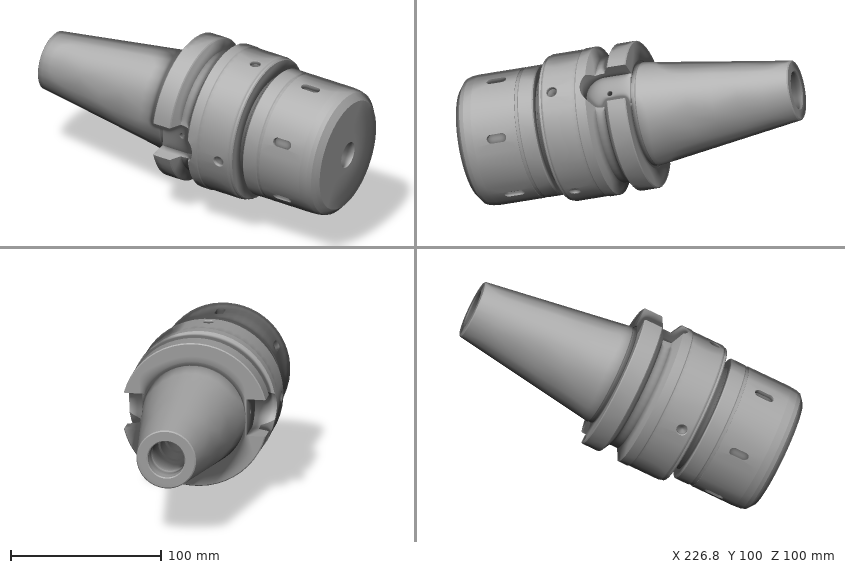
import cadquery as cq
import math

length = 226.8
taper_end = 101.8
flange_start = 104.5
flange_end = 117.3
ring_start = 132.2
ring_end = 139.0
body_end = 162.8
neck_start = 165.5
nut_start = 171.0
nut_groove_start = 181.2
nut_groove_end = 184.0
nose_start = 214.5

taper_rate = 7 / 24 / 2
taper_radius = 35.0
taper_small_radius = taper_radius - taper_rate * taper_end
relief_radius = 69.0 / 2
recess_radius = 36.5
recess_depth = 0.5
v_groove_radius = 42.5
flange_radius = 49.7
ring_radius = 100.0 / 2
body_radius = 99.0 / 2
body_edge_drop = 0.2
lip_radius = 48.8
neck_radius = 37.5
neck_groove_radius = 37.2
neck_groove_start = 167.4
neck_groove_end = 170.0
nut_radius = 88.0 / 2
nut_groove_radius = 43.5
edge_chamfer = 0.7
cut_clearance = 2.3
v_flank_slope = math.tan(math.radians(30))
v_groove_start = flange_end + edge_chamfer + (flange_radius - edge_chamfer - v_groove_radius) * v_flank_slope
v_groove_end = ring_start - (ring_radius - v_groove_radius) * v_flank_slope

nose_steps = [(220.0, 43.5), (223.0, 42.6), (225.0, 40.1), (length, 37.9)]

pilot_radius = 25.0 / 2
pilot_depth = 11.8
thread_start = 14.0
thread_radius = 24.0 / 2
thread_depth = 36.3
drill_radius = 21.0 / 2
drill_depth = 50.0
through_radius = 18.0 / 2

drive_width = 25.5
drive_floor = 35.2
drive_end = 135.9
coolant_diameter = 3.5
coolant_mouth_diameter = 4.0
coolant_x = 119.8

body_hole_diameter = 7.0
body_hole_mouth_diameter = 8.0
body_hole_x = 155.8
body_hole_depth = 2.7
body_hole_bevel = 0.5
body_hole_count = 4
drill_point_angle = 118.0

spanner_x = 198.2
spanner_length = 13.5
spanner_width = 6.0
spanner_depth = 3.5
spanner_count = 6


def build_body():
    """Solid of revolution about X with every turned outer detail."""
    outline = (
        cq.Workplane("XY")
        .moveTo(0, 0)
        .lineTo(0, taper_small_radius - edge_chamfer)
        .lineTo(edge_chamfer, taper_small_radius + taper_rate * edge_chamfer)
        .lineTo(taper_end, taper_radius)
        .lineTo(taper_end + edge_chamfer, relief_radius)
        .lineTo(flange_start + recess_depth, relief_radius)
        .lineTo(flange_start + recess_depth, recess_radius)
        .lineTo(flange_start, recess_radius)
        .lineTo(flange_start, flange_radius - edge_chamfer)
        .lineTo(flange_start + edge_chamfer, flange_radius)
        .lineTo(flange_end, flange_radius)
        .lineTo(flange_end + edge_chamfer, flange_radius - edge_chamfer)
        .lineTo(v_groove_start, v_groove_radius)
        .lineTo(v_groove_end, v_groove_radius)
        .lineTo(ring_start, ring_radius)
        .lineTo(ring_end, ring_radius)
        .lineTo(ring_end + edge_chamfer, body_radius)
        .lineTo(body_end - edge_chamfer, body_radius)
        .lineTo(body_end, body_radius - body_edge_drop)
        .lineTo(body_end + body_radius - lip_radius, lip_radius)
        .lineTo(neck_start - edge_chamfer, lip_radius)
        .lineTo(neck_start, lip_radius - edge_chamfer)
        .lineTo(neck_start, neck_radius)
        .lineTo(neck_groove_start, neck_radius)
        .lineTo(neck_groove_start, neck_groove_radius)
        .lineTo(neck_groove_end, neck_groove_radius)
        .lineTo(neck_groove_end, neck_radius)
        .lineTo(nut_start, neck_radius)
        .lineTo(nut_start, nut_radius - edge_chamfer)
        .lineTo(nut_start + edge_chamfer, nut_radius)
        .lineTo(nut_groove_start, nut_radius)
        .lineTo(nut_groove_start + edge_chamfer, nut_groove_radius)
        .lineTo(nut_groove_end, nut_groove_radius)
        .lineTo(nut_groove_end, nut_radius)
        .lineTo(nose_start, nut_radius)
    )
    for x, radius in nose_steps:
        outline = outline.lineTo(x, radius)
    profile = outline.lineTo(length, 0).close()
    return profile.revolve(360, (0, 0, 0), (1, 0, 0))


def build_bore():
    """Stepped bore that opens at the small end of the taper."""
    profile = (
        cq.Workplane("XY")
        .moveTo(0, 0)
        .lineTo(0, pilot_radius + edge_chamfer)
        .lineTo(edge_chamfer, pilot_radius)
        .lineTo(pilot_depth, pilot_radius)
        .lineTo(thread_start, thread_radius)
        .lineTo(thread_depth, thread_radius)
        .lineTo(thread_depth, drill_radius)
        .lineTo(drill_depth, drill_radius)
        .lineTo(drill_depth, through_radius)
        .lineTo(length, through_radius)
        .lineTo(length, 0)
        .close()
    )
    return profile.revolve(360, (0, 0, 0), (1, 0, 0))


def build_drive_slot():
    """Round-ended slot through the flange on the +Y side."""
    slot_radius = drive_width / 2
    center_x = drive_end - slot_radius
    reach = ring_radius - drive_floor + cut_clearance
    straight = (
        cq.Workplane("XY")
        .box(center_x - taper_end, reach, drive_width, centered=(False, False, True))
        .translate((taper_end, drive_floor, 0))
    )
    round_end = (
        cq.Workplane("XZ", origin=(center_x, drive_floor, 0))
        .circle(slot_radius)
        .extrude(-reach)
    )
    return straight.union(round_end)


def build_body_hole(angle):
    """Radial drilled hole with a conical bottom."""
    radius = body_hole_diameter / 2
    mouth_radius = body_hole_mouth_diameter / 2
    bevel_start = body_radius - body_hole_bevel
    bottom = body_radius - body_hole_depth
    tip = bottom - radius / math.tan(math.radians(drill_point_angle / 2))
    drill = (
        cq.Workplane("XZ")
        .moveTo(0, tip)
        .lineTo(radius, bottom)
        .lineTo(radius, bevel_start)
        .lineTo(mouth_radius, body_radius)
        .lineTo(mouth_radius, ring_radius)
        .lineTo(0, ring_radius)
        .close()
        .revolve(360, (0, 0, 0), (0, 1, 0))
    )
    return drill.translate((body_hole_x, 0, 0)).rotate((0, 0, 0), (1, 0, 0), angle)


def build_spanner_slot(angle):
    """Round-ended radial slot in the nut."""
    slot = (
        cq.Workplane("XY", origin=(spanner_x, 0, nut_radius - spanner_depth))
        .slot2D(spanner_length, spanner_width)
        .extrude(spanner_depth + cut_clearance)
    )
    return slot.rotate((0, 0, 0), (1, 0, 0), angle)


def build_coolant_hole():
    """Cross hole along Y, bevelled where it meets each drive slot floor."""
    mouth_radius = coolant_mouth_diameter / 2
    hole_radius = coolant_diameter / 2
    bevel_depth = mouth_radius - hole_radius
    profile = (
        cq.Workplane("XY")
        .moveTo(0, -drive_floor)
        .lineTo(mouth_radius, -drive_floor)
        .lineTo(hole_radius, bevel_depth - drive_floor)
        .lineTo(hole_radius, drive_floor - bevel_depth)
        .lineTo(mouth_radius, drive_floor)
        .lineTo(0, drive_floor)
        .close()
    )
    return profile.revolve(360, (0, 0, 0), (0, 1, 0)).translate((coolant_x, 0, 0))


result = build_body().cut(build_bore()).cut(build_coolant_hole())

drive_slot = build_drive_slot()
result = result.cut(drive_slot).cut(drive_slot.mirror("XZ"))

for index in range(body_hole_count):
    result = result.cut(build_body_hole(index * 360 / body_hole_count))

for index in range(spanner_count):
    result = result.cut(build_spanner_slot(index * 360 / spanner_count))